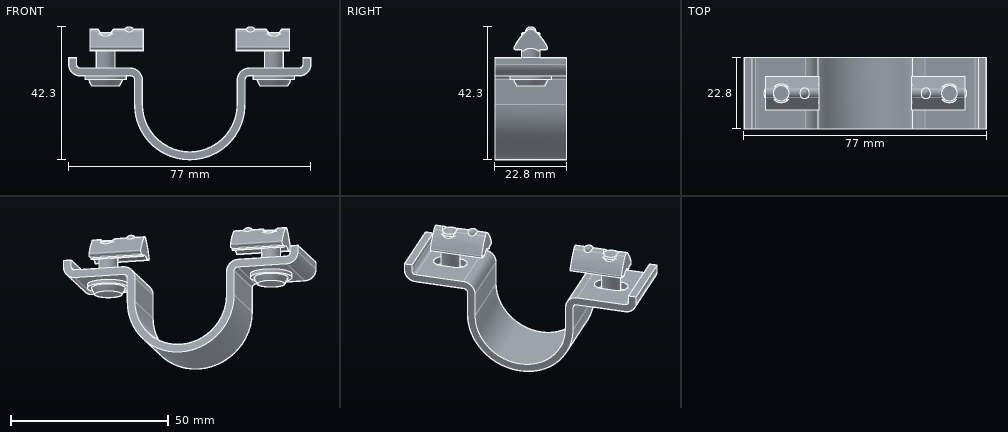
import cadquery as cq
import math


clamp_length = 77.0
clamp_width = 22.8
sheet_thickness = 2.55
saddle_inner_radius = 15.0
bend_inner_radius = 1.15
shoulder_radius = 3.9
flange_top = 11.6
lip_top = 14.9

saddle_outer_radius = saddle_inner_radius + sheet_thickness
lip_outer_radius = bend_inner_radius + sheet_thickness
flange_bottom = flange_top - sheet_thickness
half_length = clamp_length / 2

screw_offset = 26.7
shaft_diameter = 6.0
tip_diameter = 4.9
tip_z = 22.95
washer_diameter = 13.25
washer_thickness = 1.15
head_top_radius = 5.4
head_bottom_radius = 4.4
head_height = 2.1
head_curve_radius = 6.9

shaft_radius = shaft_diameter / 2
tip_radius = tip_diameter / 2
tip_chamfer = shaft_radius - tip_radius

slot_length = 10.85
slot_width = shaft_diameter

nut_length = 17.0
nut_end_to_screw = 5.0
nut_top = 23.95
nut_bottom = 17.4
nut_corner_half_width = 5.7
nut_corner_radius = 0.6
crest_radius = 1.85
crest_half_width = 1.3
flank_radius = 16.55
rail_half_width = shaft_radius
rail_depth = 0.5
groove_half_width = 2.5
groove_height = 0.9
bump_radius = 1.7
bump_height = 0.8
bump_to_screw = 7.5


def make_clamp():
    """Half a bent strip with its slot, joined to its mirror image."""
    inner_middle = saddle_inner_radius * math.sqrt(0.5)
    outer_middle = saddle_outer_radius * math.sqrt(0.5)
    half = (
        cq.Workplane("XZ")
        .moveTo(0, -saddle_outer_radius)
        .threePointArc((outer_middle, -outer_middle), (saddle_outer_radius, 0))
        .lineTo(saddle_outer_radius, flange_bottom - bend_inner_radius)
        .tangentArcPoint((bend_inner_radius, bend_inner_radius))
        .lineTo(half_length - lip_outer_radius, flange_bottom)
        .tangentArcPoint((lip_outer_radius, lip_outer_radius))
        .lineTo(half_length, lip_top)
        .lineTo(half_length - sheet_thickness, lip_top)
        .lineTo(half_length - sheet_thickness, flange_top + bend_inner_radius)
        .tangentArcPoint((-bend_inner_radius, -bend_inner_radius))
        .lineTo(saddle_inner_radius + shoulder_radius, flange_top)
        .tangentArcPoint((-shoulder_radius, -shoulder_radius))
        .lineTo(saddle_inner_radius, 0)
        .threePointArc((inner_middle, -inner_middle), (0, -saddle_inner_radius))
        .close()
        .extrude(clamp_width / 2, both=True)
    )
    slot = (
        cq.Workplane("XY")
        .workplane(offset=flange_bottom)
        .center(screw_offset, 0)
        .slot2D(slot_length, slot_width)
        .extrude(sheet_thickness)
    )
    half = half.cut(slot)
    return half.union(half.mirror("YZ")).clean()


def make_screw():
    """Screw on the +X side, pointing up."""
    washer_bottom = flange_bottom - washer_thickness
    head_bottom = washer_bottom - head_height
    return (
        cq.Workplane("XZ")
        .moveTo(0, head_bottom)
        .lineTo(head_bottom_radius, head_bottom)
        .radiusArc((head_top_radius, washer_bottom), -head_curve_radius)
        .lineTo(washer_diameter / 2, washer_bottom)
        .lineTo(washer_diameter / 2, flange_bottom)
        .lineTo(shaft_radius, flange_bottom)
        .lineTo(shaft_radius, tip_z - tip_chamfer)
        .lineTo(tip_radius, tip_z)
        .lineTo(0, tip_z)
        .close()
        .revolve(360, (0, 0, 0), (0, 1, 0))
        .translate((screw_offset, 0, 0))
    )


def make_nut(screw):
    """Nut on the +X side, bored to fit the given screw."""
    outer_end = screw_offset + nut_end_to_screw
    crest_edge_z = nut_top - crest_radius + math.sqrt(crest_radius**2 - crest_half_width**2)
    rail_bottom = nut_bottom - rail_depth
    bar = (
        cq.Workplane("YZ")
        .workplane(offset=outer_end - nut_length)
        .moveTo(-crest_half_width, crest_edge_z)
        .threePointArc((0, nut_top), (crest_half_width, crest_edge_z))
        .radiusArc((nut_corner_half_width, nut_bottom), flank_radius)
        .lineTo(rail_half_width, nut_bottom)
        .lineTo(rail_half_width, rail_bottom)
        .lineTo(groove_half_width, rail_bottom)
        .threePointArc((0, rail_bottom + groove_height), (-groove_half_width, rail_bottom))
        .lineTo(-rail_half_width, rail_bottom)
        .lineTo(-rail_half_width, nut_bottom)
        .lineTo(-nut_corner_half_width, nut_bottom)
        .radiusArc((-crest_half_width, crest_edge_z), flank_radius)
        .close()
        .extrude(nut_length)
        .edges("|X").edges("<Y or >Y")
        .fillet(nut_corner_radius)
    )
    bump = cq.Workplane("XY").sphere(bump_radius).translate(
        (screw_offset - bump_to_screw, 0, nut_top + bump_height - bump_radius)
    )
    hole_above_screw = (
        cq.Workplane("XY")
        .workplane(offset=tip_z)
        .center(screw_offset, 0)
        .circle(tip_radius)
        .extrude(nut_top - tip_z)
    )
    return bar.union(bump).cut(screw).cut(hole_above_screw)


clamp = make_clamp()
screw_right = make_screw()
nut_right = make_nut(screw_right)

screws = [screw_right, screw_right.mirror("YZ")]
nuts = [nut_right, nut_right.mirror("YZ")]

result = cq.Compound.makeCompound([body.solids().val() for body in [clamp, *screws, *nuts]])